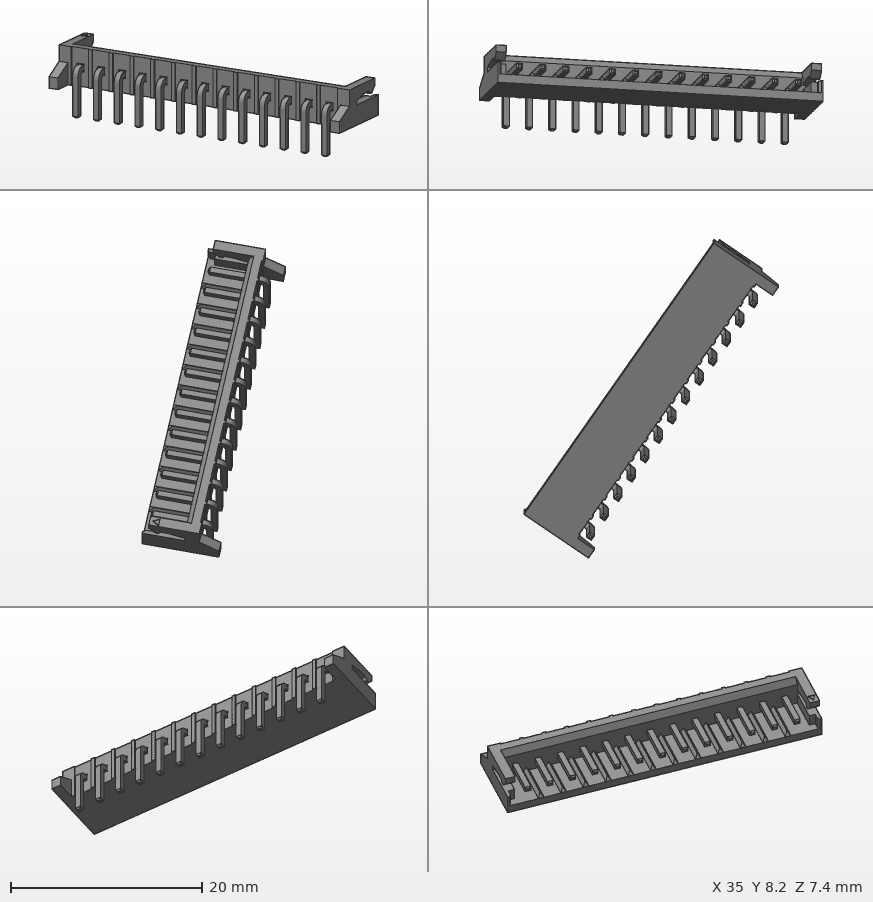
import cadquery as cq
import math


LENGTH = 35.0
DEPTH = 8.2
WALL_TOP = 4.2
LEG_DROP = 3.2

PIN_COUNT = 13
PIN_ROW_SPAN = 30.0
PIN_WIDTH = 0.63
PIN_TOP = 2.35
PIN_REAR = 7.7
LEG_FRONT = 1.15
BEND_INNER_RADIUS = 0.42
TIP_LENGTH = 0.18
TIP_WIDTH = 0.28
SOCKET_WIDTH = 0.85
SOCKET_DEPTH = 0.18

WALL_FRONT = 2.1
WALL_REAR = 3.68
WALL_TOP_REAR = 3.15
WALL_BEVEL_DROP = 0.7
FLOOR_TOP = 0.9
CHEEK_TOP = 2.2
CHEEK_STEP = 7.3
CHEEK_THICKNESS = 0.42
CHEEK_LEAD_IN = 0.2
CHEEK_LEAD_LENGTH = 0.3
PANEL_RECESS = 0.15
RIB_WIDTH = 0.42

RIDGE_WIDTH = 0.63
RIDGE_HEIGHT = 0.45

ARM_THICKNESS = 1.1
ARM_TIP = 7.5
ARM_TIP_BOTTOM = 3.45
HOOK_BOTTOM = 2.73
HOOK_REAR = 6.8
HOOK_FRONT = 6.48
HOOK_ROOT = 6.23
ARM_BOTTOM = 3.08
ARM_TAPER_START = 5.4
ARM_ROOT_BOTTOM = 2.7
PRONG_TOP = 2.4
PRONG_NOSE = 1.25

MARK_WIDTH = 0.77
MARK_LENGTH = 0.65
MARK_FRONT = 6.48
MARK_DEPTH = 0.07

HALF_LENGTH = LENGTH / 2
PIN_BOTTOM = PIN_TOP - PIN_WIDTH
PIN_AXIS_HEIGHT = PIN_TOP - PIN_WIDTH / 2
PIN_PITCH = PIN_ROW_SPAN / (PIN_COUNT - 1)
FIRST_PIN = -PIN_ROW_SPAN / 2
PIN_PLACES = [FIRST_PIN + i * PIN_PITCH for i in range(PIN_COUNT)]
GAP_PLACES = [x + PIN_PITCH / 2 for x in PIN_PLACES[:-1]]


def extrude_along_row(outline, start, width):
    """Extrude a closed (Y, Z) outline in +X from the given X."""
    return cq.Workplane("YZ", origin=(start, 0, 0)).polyline(outline).close().extrude(width)


def make_floor_and_wall():
    outline = [
        (WALL_FRONT, 0),
        (DEPTH, 0),
        (DEPTH, FLOOR_TOP),
        (WALL_REAR, FLOOR_TOP),
        (WALL_REAR, WALL_TOP - WALL_BEVEL_DROP),
        (WALL_TOP_REAR, WALL_TOP),
        (WALL_FRONT, WALL_TOP),
    ]
    return extrude_along_row(outline, -HALF_LENGTH, LENGTH)


def make_cheek():
    """Low side wall at the -X end, thick under the arm and thin with a lead-in behind it."""
    outer = -HALF_LENGTH
    inner = outer + CHEEK_THICKNESS
    outline = [
        (outer, WALL_FRONT),
        (outer + ARM_THICKNESS, WALL_FRONT),
        (outer + ARM_THICKNESS, CHEEK_STEP),
        (inner, CHEEK_STEP),
        (inner, DEPTH - CHEEK_LEAD_LENGTH),
        (inner - CHEEK_LEAD_IN, DEPTH),
        (outer, DEPTH),
    ]
    return cq.Workplane("XY").polyline(outline).close().extrude(CHEEK_TOP)


def make_arm():
    """Hooked latch arm at the -X end, reaching back from the wall."""
    outline = [
        (WALL_FRONT, WALL_TOP),
        (ARM_TIP, WALL_TOP),
        (ARM_TIP, ARM_TIP_BOTTOM),
        (HOOK_REAR, HOOK_BOTTOM),
        (HOOK_FRONT, HOOK_BOTTOM),
        (HOOK_ROOT, ARM_BOTTOM),
        (ARM_TAPER_START, ARM_BOTTOM),
        (WALL_REAR, ARM_ROOT_BOTTOM),
        (WALL_FRONT, ARM_ROOT_BOTTOM),
    ]
    return extrude_along_row(outline, -HALF_LENGTH, ARM_THICKNESS)


def make_prong():
    """Sloped foot at the -X end, reaching forward of the wall."""
    outline = [
        (0, 0),
        (WALL_REAR, 0),
        (WALL_REAR, PRONG_TOP),
        (WALL_FRONT, PRONG_TOP),
        (0, PRONG_NOSE),
    ]
    return extrude_along_row(outline, -HALF_LENGTH, ARM_THICKNESS)


def make_ridge(x):
    """Triangular floor ridge whose rear end slopes down at 45 degrees."""
    cross_section = [
        (x - RIDGE_WIDTH / 2, FLOOR_TOP),
        (x + RIDGE_WIDTH / 2, FLOOR_TOP),
        (x, FLOOR_TOP + RIDGE_HEIGHT),
    ]
    ridge = (
        cq.Workplane("XZ", origin=(0, DEPTH, 0))
        .polyline(cross_section).close()
        .extrude(DEPTH - WALL_REAR)
    )
    rear_slope = [
        (DEPTH, FLOOR_TOP),
        (DEPTH, FLOOR_TOP + RIDGE_HEIGHT),
        (DEPTH - RIDGE_HEIGHT, FLOOR_TOP + RIDGE_HEIGHT),
    ]
    return ridge.cut(extrude_along_row(rear_slope, x - RIDGE_WIDTH / 2, RIDGE_WIDTH))


def make_panel_recess(x):
    """Shallow full-height recess in the wall front around one pin."""
    return cq.Workplane("XY").box(
        PIN_PITCH - RIB_WIDTH, PANEL_RECESS, WALL_TOP, centered=(True, False, False)
    ).translate((x, WALL_FRONT, 0))


def make_socket(x):
    """Square recess around a pin where it leaves the wall."""
    return (
        cq.Workplane("XZ", origin=(x, WALL_FRONT + PANEL_RECESS, PIN_AXIS_HEIGHT))
        .rect(SOCKET_WIDTH, SOCKET_WIDTH)
        .extrude(-SOCKET_DEPTH)
    )


def make_pin_one_mark():
    """Triangle sunk into the top of the -X arm."""
    middle = -HALF_LENGTH + ARM_THICKNESS / 2
    outline = [
        (middle - MARK_WIDTH / 2, MARK_FRONT),
        (middle + MARK_WIDTH / 2, MARK_FRONT),
        (middle, MARK_FRONT + MARK_LENGTH),
    ]
    return cq.Workplane("XY", origin=(0, 0, WALL_TOP)).polyline(outline).close().extrude(-MARK_DEPTH)


def make_tip(workplane):
    """Square taper from the full pin width along the workplane normal."""
    return (
        workplane.rect(PIN_WIDTH, PIN_WIDTH)
        .workplane(offset=TIP_LENGTH)
        .rect(TIP_WIDTH, TIP_WIDTH)
        .loft(ruled=True)
    )


def make_pin(x):
    """Square pin bent from horizontal to a leg pointing down, tapered at both ends."""
    outer_radius = BEND_INNER_RADIUS + PIN_WIDTH
    bend_y = LEG_FRONT + outer_radius
    bend_z = PIN_TOP - outer_radius
    leg_back = LEG_FRONT + PIN_WIDTH
    shank_rear = PIN_REAR - TIP_LENGTH
    leg_end = TIP_LENGTH - LEG_DROP
    diagonal = math.sqrt(0.5)
    outer_middle = (bend_y - outer_radius * diagonal, bend_z + outer_radius * diagonal)
    inner_middle = (bend_y - BEND_INNER_RADIUS * diagonal, bend_z + BEND_INNER_RADIUS * diagonal)
    shank = (
        cq.Workplane("YZ", origin=(x - PIN_WIDTH / 2, 0, 0))
        .moveTo(shank_rear, PIN_TOP)
        .lineTo(bend_y, PIN_TOP)
        .threePointArc(outer_middle, (LEG_FRONT, bend_z))
        .lineTo(LEG_FRONT, leg_end)
        .lineTo(leg_back, leg_end)
        .lineTo(leg_back, bend_z)
        .threePointArc(inner_middle, (bend_y, PIN_BOTTOM))
        .lineTo(shank_rear, PIN_BOTTOM)
        .close()
        .extrude(PIN_WIDTH)
    )
    rear_end = cq.Plane((x, shank_rear, PIN_AXIS_HEIGHT), (1, 0, 0), (0, 1, 0))
    lower_end = cq.Plane((x, LEG_FRONT + PIN_WIDTH / 2, leg_end), (1, 0, 0), (0, 0, -1))
    return shank.union(make_tip(cq.Workplane(rear_end))).union(make_tip(cq.Workplane(lower_end)))


end = make_cheek().union(make_arm()).union(make_prong())
result = make_floor_and_wall()
for x in PIN_PLACES:
    result = result.cut(make_panel_recess(x)).cut(make_socket(x))
result = result.union(end).union(end.mirror("YZ"))
result = result.cut(make_pin_one_mark())

for x in GAP_PLACES:
    result = result.union(make_ridge(x))
for x in PIN_PLACES:
    result = result.union(make_pin(x))